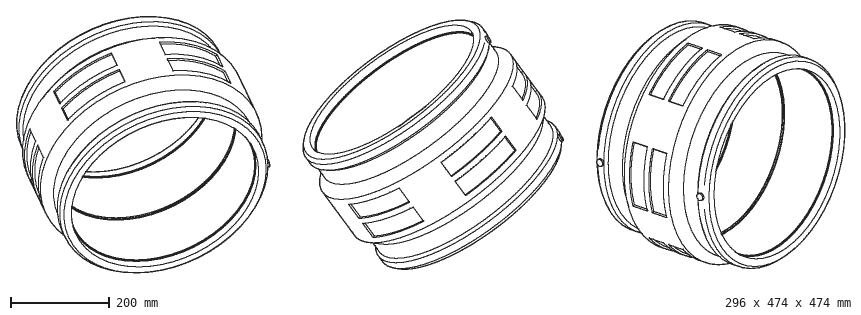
import cadquery as cq
import math

length = 296.0
half_length = length / 2
body_radius = 474 / 2
neck_radius = 432.5 / 2
bead_radius = 445.5 / 2
bore_radius = 400.0 / 2
wall_middle_radius = (bore_radius + neck_radius) / 2

bead_start = 8.0
bead_end = 23.5
neck_start = 30.0
neck_end = 67.5
body_start = 89.5

ridge_radius = 396.0 / 2
middle_ridge_width = 4.7
end_ridge_width = 2.5
end_ridge_inset = 17.0

window_count = 6
window_width = 38.0
window_gap = 13.5
window_depth = 4.7
window_angle = 35.0

stud_diameter = bead_end - bead_start
stud_top = 226.5


def tube(outer, inner, start, width):
    """Ring around the X axis that begins at x = start."""
    return cq.Workplane("YZ", origin=(start, 0, 0)).circle(outer).circle(inner).extrude(width)


def make_sleeve():
    left_profile = [
        (-half_length, neck_radius),
        (-half_length + bead_start, bead_radius),
        (-half_length + bead_end, bead_radius),
        (-half_length + neck_start, neck_radius),
        (-half_length + neck_end, neck_radius),
        (-half_length + body_start, body_radius),
    ]
    right_profile = [(-x, radius) for x, radius in reversed(left_profile)]
    bore_line = [(half_length, bore_radius), (-half_length, bore_radius)]
    outline = cq.Workplane("XY").polyline(left_profile + right_profile + bore_line).close()
    return outline.revolve(360, (0, 0, 0), (1, 0, 0))


def make_window(start, middle_angle):
    """Radial-sided sector, centred on an angle measured from +Y towards +Z."""
    ring = tube(body_radius + window_depth, body_radius - window_depth, start, window_width)
    reach = 2 * body_radius
    half_side = reach * math.tan(math.radians(window_angle / 2))
    wedge = (
        cq.Workplane("YZ", origin=(start, 0, 0))
        .polyline([(0, 0), (reach, -half_side), (reach, half_side)])
        .close()
        .extrude(window_width)
    )
    return ring.intersect(wedge).rotate((0, 0, 0), (1, 0, 0), middle_angle)


def make_stud(x):
    return (
        cq.Workplane("XZ", origin=(x, stud_top, 0))
        .circle(stud_diameter / 2)
        .extrude(stud_top - wall_middle_radius)
    )


result = make_sleeve()

end_ridge_middle = half_length - end_ridge_inset - end_ridge_width / 2
ridges = [
    (-end_ridge_middle, end_ridge_width),
    (0, middle_ridge_width),
    (end_ridge_middle, end_ridge_width),
]
for middle, width in ridges:
    result = result.union(tube(wall_middle_radius, ridge_radius, middle - width / 2, width))

for start in (-window_gap / 2 - window_width, window_gap / 2):
    for index in range(window_count):
        result = result.cut(make_window(start, index * 360 / window_count))

stud_middle = half_length - (bead_start + bead_end) / 2
for x in (-stud_middle, stud_middle):
    result = result.union(make_stud(x))